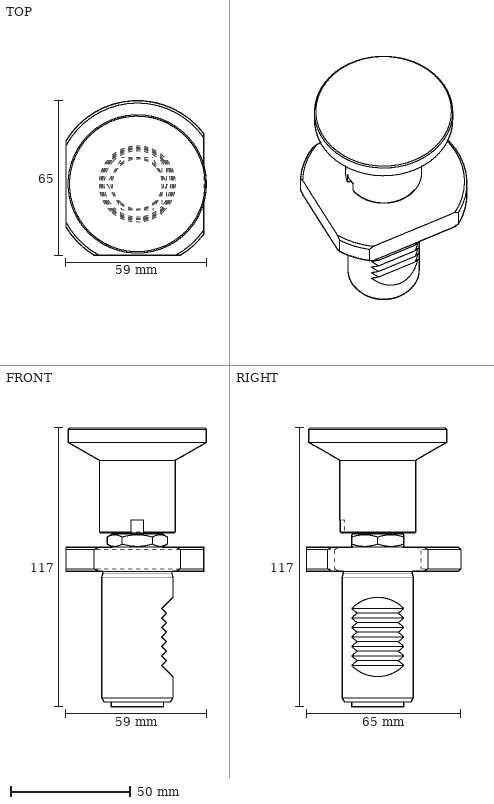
import cadquery as cq
import math

total_height = 117.0
rim_bottom = 111.0
cone_bottom = 103.5
knob_bottom = 72.9
nut_top = 72.6
flange_top = 67.1
flange_bottom = 56.9
neck_bottom = 56.0
body_shoulder = 54.4
body_bottom = 2.0

knob_radius = 58.0 / 2
hub_radius = 32.0 / 2
knob_chamfer = 0.6
slot_width = 5.1
slot_height = 5.5
slot_depth = 2.1

nut_across_flats = 22.0
nut_across_corners = nut_across_flats / math.cos(math.radians(30))
nut_face_radius = 21.0 / 2
nut_chamfer_angle = 30
stem_radius = nut_face_radius

flange_radius = 35.0
flange_left = 30.0
flange_right = 28.0
flange_front = 30.0
flange_chamfer = 1.0

body_radius = 30.0 / 2
neck_radius = 29.1 / 2
body_chamfer_height = 1.9
body_chamfer_width = 1.0
tip_radius = 22.0 / 2
root_x = 10.3
tooth_height = 2.0
tooth_pitch = 2 * tooth_height
root_count = 7
rack_middle = 29.4


def cylinder(radius, bottom, top):
    return cq.Workplane("XY").workplane(offset=bottom).circle(radius).extrude(top - bottom)


def revolve_profile(points):
    """Turn an outline of (radius, height) points around the Z axis."""
    return cq.Workplane("XZ").polyline(points).close().revolve(360, (0, 0), (0, 1))


def make_knob():
    knob = revolve_profile([
        (0, knob_bottom),
        (hub_radius - knob_chamfer, knob_bottom),
        (hub_radius, knob_bottom + knob_chamfer),
        (hub_radius, cone_bottom),
        (knob_radius, rim_bottom),
        (knob_radius, total_height - knob_chamfer),
        (knob_radius - knob_chamfer, total_height),
        (0, total_height),
    ])
    slot = cq.Workplane("XY").box(
        slot_width, hub_radius, slot_height, centered=(True, False, False)
    ).translate((0, slot_depth - 2 * hub_radius, knob_bottom))
    return knob.cut(slot)


def make_nut():
    nut = (
        cq.Workplane("XY").workplane(offset=flange_top)
        .polygon(6, nut_across_corners).extrude(nut_top - flange_top)
    )
    corner_radius = nut_across_corners / 2
    cone_height = (corner_radius - nut_face_radius) * math.tan(math.radians(nut_chamfer_angle))
    corner_envelope = revolve_profile([
        (0, flange_top),
        (nut_face_radius, flange_top),
        (corner_radius, flange_top + cone_height),
        (corner_radius, nut_top - cone_height),
        (nut_face_radius, nut_top),
        (0, nut_top),
    ])
    return nut.intersect(corner_envelope)


def make_flange():
    disc = cylinder(flange_radius, flange_bottom, flange_top).edges().chamfer(flange_chamfer)
    trim = cq.Workplane("XY").box(
        flange_left + flange_right, flange_front + flange_radius, total_height, centered=False
    ).translate((-flange_left, -flange_front, 0))
    return disc.intersect(trim)


def make_body():
    body = revolve_profile([
        (0, 0),
        (tip_radius, 0),
        (tip_radius, body_bottom),
        (body_radius - body_chamfer_width, body_bottom),
        (body_radius, body_bottom + body_chamfer_height),
        (body_radius, body_shoulder),
        (neck_radius, neck_bottom),
        (neck_radius, flange_bottom),
        (0, flange_bottom),
    ])
    first_root = rack_middle - tooth_pitch * (root_count - 1) / 2
    last_root = rack_middle + tooth_pitch * (root_count - 1) / 2
    end_depth = body_radius - root_x
    outline = [(body_radius, first_root - end_depth)]
    for index in range(root_count):
        root_z = first_root + index * tooth_pitch
        outline.append((root_x, root_z))
        if index < root_count - 1:
            outline.append((root_x + tooth_height, root_z + tooth_pitch / 2))
    outline.append((body_radius, last_root + end_depth))
    rack = cq.Workplane("XZ").polyline(outline).close().extrude(body_radius, both=True)
    return body.cut(rack)


stem = cylinder(stem_radius, flange_top, knob_bottom)
result = make_body().union(make_flange()).union(make_nut()).union(stem).union(make_knob())